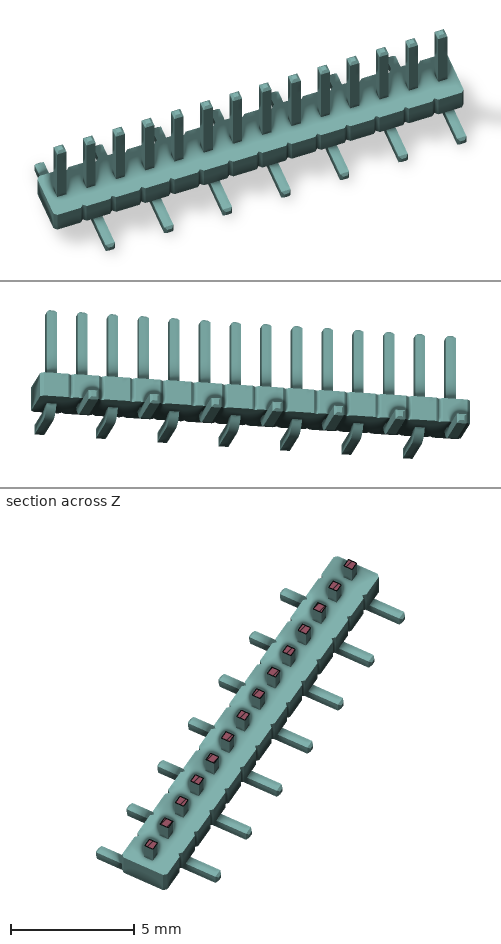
import cadquery as cq
import math

pin_count = 14
pitch = 1.27
row_length = pin_count * pitch

body_width = 2.1
body_bottom = 0.5
body_height = 1.0
corner_chamfer = 0.127

pin_size = 0.4
pin_top = 4.5
leg_reach = 2.5
tip_length = 0.1
tip_size = pin_size / 2
bend_inner_radius = 0.4
bend_outer_radius = bend_inner_radius + pin_size


def make_body_cell(y_center):
    """One pitch of the body: a block with chamfered vertical edges."""
    return (
        cq.Workplane("XY", origin=(0, y_center, body_bottom))
        .rect(body_width, pitch)
        .extrude(body_height)
        .edges("|Z")
        .chamfer(corner_chamfer)
    )


def make_tip(plane):
    """Truncated pyramid that ends a pin, growing along the plane's normal."""
    return (
        cq.Workplane(plane)
        .rect(pin_size, pin_size)
        .workplane(offset=tip_length)
        .rect(tip_size, tip_size)
        .loft(ruled=True)
    )


def make_pin():
    """Bent pin centred on Y = 0, with its leg pointing along -X."""
    half = pin_size / 2
    shoulder_top = pin_top - tip_length
    leg_end = -leg_reach + tip_length
    bend_x = half - bend_outer_radius
    bend_z = bend_outer_radius

    def bend_midpoint(radius):
        offset = radius * math.sqrt(0.5)
        return (bend_x + offset, bend_z - offset)

    shank = (
        cq.Workplane("XZ")
        .moveTo(-half, shoulder_top)
        .lineTo(-half, bend_z)
        .threePointArc(bend_midpoint(bend_inner_radius), (bend_x, pin_size))
        .lineTo(leg_end, pin_size)
        .lineTo(leg_end, 0)
        .lineTo(bend_x, 0)
        .threePointArc(bend_midpoint(bend_outer_radius), (half, bend_z))
        .lineTo(half, shoulder_top)
        .close()
        .extrude(half, both=True)
    )
    top_tip = make_tip(cq.Plane(origin=(0, 0, shoulder_top), xDir=(1, 0, 0), normal=(0, 0, 1)))
    leg_tip = make_tip(cq.Plane(origin=(leg_end, 0, half), xDir=(0, 1, 0), normal=(-1, 0, 0)))
    return shank.union(top_tip).union(leg_tip)


left_pin = make_pin()
right_pin = left_pin.rotate((0, 0, 0), (0, 0, 1), 180)
first_y = (pitch - row_length) / 2
pin_positions = [first_y + index * pitch for index in range(pin_count)]

result = make_body_cell(first_y)
for y in pin_positions[1:]:
    result = result.union(make_body_cell(y))
result = result.clean()

for index, y in enumerate(pin_positions):
    pin = left_pin if index % 2 == 0 else right_pin
    result = result.union(pin.translate((0, y, 0)))